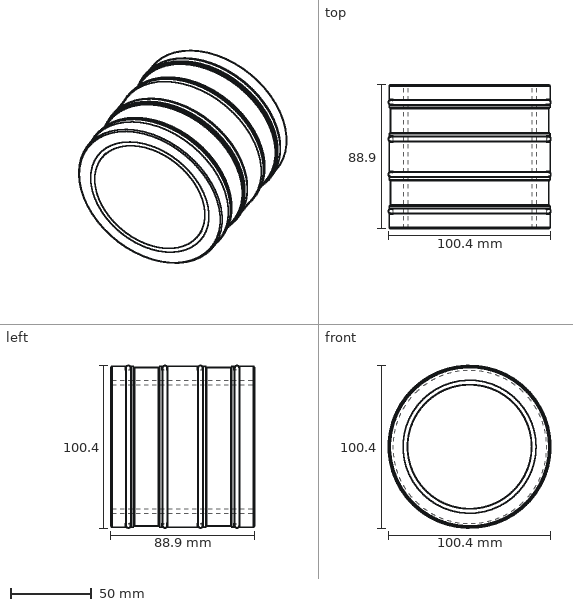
import cadquery as cq

ring_outer_radius = 50.2
length = 88.9
land_radius = 49.8
end_chamfer = 0.9
liner_outer_radius = 41.1
bore_radius = 38.3

ring_section_radius = 1.4
groove_width = 3.4
inner_groove_y = 10.9
outer_groove_y = 33.6
groove_positions = [-outer_groove_y, -inner_groove_y, inner_groove_y, outer_groove_y]
ring_center_radius = ring_outer_radius - ring_section_radius
groove_floor_radius = ring_center_radius - ring_section_radius

recess_center_y = 22.3
recess_width = 16.3
recess_radius = 49.0
ramp_width = 0.8
ramp_drop = 0.3
recess_positions = [-recess_center_y, recess_center_y]


def make_cylinder(radius, cylinder_length, center_y=0.0):
    """Solid cylinder along Y, centered on center_y."""
    start_y = center_y + cylinder_length / 2
    return cq.Workplane("XZ", origin=(0, start_y, 0)).circle(radius).extrude(cylinder_length)


def make_tube(outer_radius, inner_radius, tube_length, center_y=0.0):
    """Tube along Y, centered on center_y."""
    outside = make_cylinder(outer_radius, tube_length, center_y)
    return outside.cut(make_cylinder(inner_radius, tube_length, center_y))


def make_recess_cutter(center_y):
    """Band removed from the sleeve to form one recess."""
    half_width = recess_width / 2
    half_floor = half_width - ramp_width
    ramp_top_radius = recess_radius + ramp_drop
    outline = [
        (ring_outer_radius, center_y - half_width),
        (ramp_top_radius, center_y - half_width),
        (recess_radius, center_y - half_floor),
        (recess_radius, center_y + half_floor),
        (ramp_top_radius, center_y + half_width),
        (ring_outer_radius, center_y + half_width),
    ]
    return cq.Workplane("XY").polyline(outline).close().revolve(360, (0, 0, 0), (0, 1, 0))


def make_sleeve():
    """Outer sleeve with chamfered ends, four ring grooves and two recesses."""
    sleeve = make_cylinder(land_radius, length).edges("%CIRCLE").chamfer(end_chamfer)
    sleeve = sleeve.cut(make_cylinder(liner_outer_radius, length))
    for groove_y in groove_positions:
        sleeve = sleeve.cut(make_tube(ring_outer_radius, groove_floor_radius, groove_width, groove_y))
    for recess_y in recess_positions:
        sleeve = sleeve.cut(make_recess_cutter(recess_y))
    return sleeve


def make_ring(center_y):
    """O-ring resting on the floor of its groove."""
    return (
        cq.Workplane("XY")
        .center(ring_center_radius, center_y)
        .circle(ring_section_radius)
        .revolve(360, (-ring_center_radius, 0, 0), (-ring_center_radius, 1, 0))
    )


sleeve = make_sleeve()
liner = make_tube(liner_outer_radius, bore_radius, length)
rings = [make_ring(groove_y) for groove_y in groove_positions]

result = cq.Compound.makeCompound([sleeve.val(), liner.val(), *[ring.val() for ring in rings]])